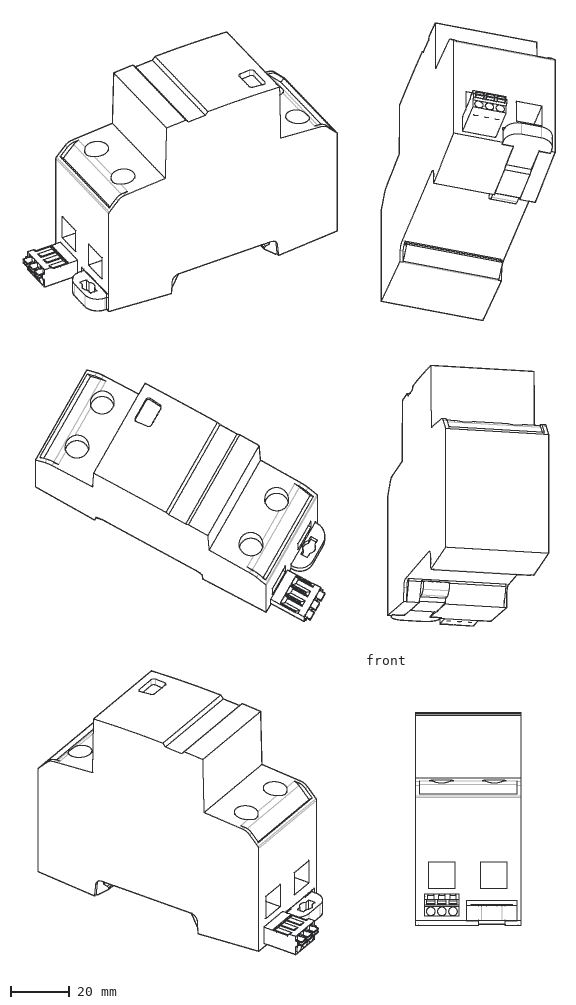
import cadquery as cq
import math


overall_length = 105.0
width = 36.0
height = 72.5
depth = 90.0
connector_reach = overall_length - depth

chamfer_foot_z = 43.9
chamfer_angle = math.radians(46)
shelf_start_inset = 6.4
shelf_start_z = 49.0
shelf_end_inset = 22.3
shelf_end_z = 50.2
shelf_slope = (shelf_end_z - shelf_start_z) / (shelf_end_inset - shelf_start_inset)
shoulder_radius = 4.2
front_edge_radius = 0.8

crown_y = 50.4
crown_radius = 377.9
tower_front_y = 22.8
tower_back_y = 67.3
groove_back_y = 39.0
groove_front_y = 30.3
groove_flank = 1.0
groove_floor_back_z = 71.2
groove_floor_front_z = 70.8

front_bottom_z = 1.7
back_bottom_z = 2.0
front_foot_y = 24.8
back_foot_y = 66.9
back_foot_z = 0.3
rail_ceiling_z = 7.3
rail_front_y = 25.1
rail_back_y = 66.2
rail_corner_radius = 2.5
rail_stop_y = 28.1
rail_stop_z = 6.5
side_wall = 1.0

well_diameter = 8.1
well_depth = 8.4
front_well_y = 10.9
back_well_y = 79.2
front_wells_x = (8.9, 26.9)
back_wells_x = (9.9, 27.5)
window_size = 9.0
window_depth = 10.5
window_bottom_z = 12.6
windows_x = (8.9, 26.8)

label_margin = 1.4
label_lip_inset = 0.9
label_floor_inset = 2.2
label_floor_z = 43.8
label_bend_inset = 6.3
label_end_inset = 8.2

indicator_x = 27.5
indicator_back_y = 64.2
indicator_front_y = 58.3
indicator_back_width = 9.5
indicator_front_width = 8.5
indicator_radius = 1.0
indicator_depth = 2.6

latch_x = 26.0
tab_width = 17.1
tab_reach = 5.7
tab_bottom_z = 1.8
tab_top_z = 6.8
tab_corner_radius = 5.0
tab_pocket_depth = 1.0
tab_pocket_top_z = 8.5
clearance_width = 14.2
clearance_top_z = 7.2
clearance_back_y = 4.2
shank_width = 9.0
keyhole_y = -2.2
keyhole_radius = 2.2
keyhole_depth = 4.2
keyhole_slot_length = 7.0
keyhole_slot_width = 2.5

connector_x = 9.0
connector_width = 11.8
connector_bottom_z = 3.3
connector_top_z = 9.9
connector_front_y = -13.0
bar_top_z = 10.7
bar_back_y = -10.6
bar_ramp_length = 1.2
ledge_front_y = -13.7
ledge_top_z = 8.8
ledge_bottom_z = 6.4
ledge_bevel = 0.6
pole_pitch = 3.8
poles_x = [connector_x + i * pole_pitch for i in (-1, 0, 1)]
wire_hole_diameter = 2.9
wire_hole_depth = 4.2
wire_hole_z = 4.8
key_slot_width = 2.2
key_slot_top_z = 10.3
key_slot_depth = 1.0
tongue_top_width = 1.6
tongue_base_width = 2.8
tongue_back_y = -3.5
tongue_floor_z = 9.2
tongue_pocket_width = 3.3

button_width = 2.8
button_top_z = 8.8
button_bottom_z = 7.1
button_back_y = -11.5
button_slot_height = 0.8
button_slot_depth = 1.3


def slab(points, x_start, x_end):
    """Prism from a Y-Z outline, reaching from x_start to x_end."""
    return cq.Workplane("YZ").workplane(offset=x_start).polyline(points).close().extrude(x_end - x_start)


def block(x_center, x_size, y_range, z_range):
    """Box centred on x_center with the given Y and Z ranges."""
    y_low, y_high = y_range
    z_low, z_high = z_range
    return cq.Workplane("XY").box(x_size, y_high - y_low, z_high - z_low).translate(
        (x_center, (y_low + y_high) / 2, (z_low + z_high) / 2)
    )


def crown_z(y):
    """Height of the crowned top at y."""
    return height - crown_radius + math.sqrt(crown_radius**2 - (y - crown_y) ** 2)


def shelf_z(inset):
    """Height of the sloping shelf at a distance in from the end face."""
    return shelf_start_z + (inset - shelf_start_inset) * shelf_slope


def crown_point(y):
    return (y, crown_z(y))


def round_edges(solid, places, radius):
    """Round the full-width edges nearest to the given (y, z) places."""
    for y, z in places:
        solid = solid.edges(cq.NearestToPointSelector((width / 2, y, z))).fillet(radius)
    return solid


def housing_shell():
    """Full-width outline with the crown, shoulders and rail recess."""
    rise = math.tan(chamfer_angle)
    corner_inset = (shelf_z(0) - chamfer_foot_z) / (rise - shelf_slope)
    corner_z = shelf_z(corner_inset)
    groove_back_floor_y = groove_back_y - groove_flank
    groove_front_floor_y = groove_front_y + groove_flank
    shell = (
        cq.Workplane("YZ")
        .moveTo(0, front_bottom_z)
        .lineTo(0, chamfer_foot_z)
        .lineTo(corner_inset, corner_z)
        .lineTo(shelf_end_inset, shelf_end_z)
        .lineTo(*crown_point(tower_front_y))
        .threePointArc(crown_point((tower_front_y + groove_front_y) / 2), crown_point(groove_front_y))
        .lineTo(groove_front_floor_y, groove_floor_front_z)
        .lineTo(groove_back_floor_y, groove_floor_back_z)
        .lineTo(*crown_point(groove_back_y))
        .threePointArc(crown_point((groove_back_y + tower_back_y) / 2), crown_point(tower_back_y))
        .lineTo(depth - shelf_end_inset, shelf_end_z)
        .lineTo(depth - corner_inset, corner_z)
        .lineTo(depth, chamfer_foot_z)
        .lineTo(depth, back_bottom_z)
        .lineTo(back_foot_y, back_foot_z)
        .lineTo(rail_back_y, rail_ceiling_z)
        .lineTo(rail_front_y, rail_ceiling_z)
        .lineTo(front_foot_y, 0)
        .close()
        .extrude(width)
    )

    shell = round_edges(
        shell, [(corner_inset, corner_z), (depth - corner_inset, corner_z)], shoulder_radius
    )
    shell = round_edges(shell, [(0, chamfer_foot_z)], front_edge_radius)
    return round_edges(
        shell, [(rail_front_y, rail_ceiling_z), (rail_back_y, rail_ceiling_z)], rail_corner_radius
    )


def rail_core():
    """Fixed rail hook at the back and sloped rail stop at the front, set in from both sides."""
    root_margin = 1.6
    hook = [
        (back_foot_y + root_margin, rail_ceiling_z + root_margin),
        (63.8, rail_ceiling_z + root_margin),
        (63.8, 5.7),
        (62.3, 5.4),
        (61.8, 4.9),
        (61.8, 4.2),
        (66.3, back_foot_z),
        (back_foot_y, back_foot_z),
        (back_foot_y + root_margin, root_margin),
    ]
    stop = [
        (rail_front_y - root_margin, rail_ceiling_z + root_margin),
        (rail_stop_y, rail_ceiling_z + root_margin),
        (rail_stop_y, rail_stop_z),
        (front_foot_y, 0),
        (rail_front_y - root_margin, root_margin),
    ]
    inner_end = width - side_wall
    return slab(hook, side_wall, inner_end).union(slab(stop, side_wall, inner_end))


def label_recess():
    """Cutter for the label recess in the front shoulder."""
    clear_z = shelf_end_z + 1
    lip_z = chamfer_foot_z + label_lip_inset * math.tan(chamfer_angle)
    bend_z = label_floor_z + (label_bend_inset - label_floor_inset) * math.tan(chamfer_angle)
    return (
        cq.Workplane("YZ")
        .workplane(offset=label_margin)
        .moveTo(label_lip_inset, lip_z)
        .lineTo(label_floor_inset, label_floor_z)
        .lineTo(label_bend_inset, bend_z)
        .tangentArcPoint((label_end_inset, shelf_z(label_end_inset)), relative=False)
        .lineTo(label_end_inset, clear_z)
        .lineTo(label_lip_inset, clear_z)
        .close()
        .extrude(width - 2 * label_margin)
    )


def screw_wells():
    floor_z = shelf_start_z - well_depth
    places = [(x, front_well_y) for x in front_wells_x] + [(x, back_well_y) for x in back_wells_x]
    return (
        cq.Workplane("XY").workplane(offset=floor_z).pushPoints(places)
        .circle(well_diameter / 2).extrude(2 * well_depth)
    )


def indicator_pocket():
    back_half = indicator_back_width / 2
    front_half = indicator_front_width / 2
    outline = [
        (indicator_x - back_half, indicator_back_y),
        (indicator_x + back_half, indicator_back_y),
        (indicator_x + front_half, indicator_front_y),
        (indicator_x - front_half, indicator_front_y),
    ]
    return (
        cq.Workplane("XY").workplane(offset=height - indicator_depth).polyline(outline).close()
        .extrude(2 * indicator_depth).edges("|Z").fillet(indicator_radius)
    )


def make_housing():
    housing = housing_shell().union(rail_core())
    front_label = label_recess()
    back_label = front_label.mirror("XZ", (0, depth / 2, 0))
    housing = housing.cut(front_label).cut(back_label).cut(screw_wells()).cut(indicator_pocket())
    for x in windows_x:
        window_top_z = window_bottom_z + window_size
        housing = housing.cut(block(x, window_size, (0, window_depth), (window_bottom_z, window_top_z)))
    tab_pocket = block(latch_x, tab_width, (0, tab_pocket_depth), (0, tab_pocket_top_z))
    shank_slot = block(latch_x, shank_width, (0, rail_stop_y), (0, tab_top_z))
    clearance = block(latch_x, clearance_width, (0, clearance_back_y), (tab_top_z, clearance_top_z))
    return housing.cut(tab_pocket).cut(shank_slot).cut(clearance)


def latch_shank():
    """Slide under the housing, ending in a rounded nose that grips the rail."""
    nose_base_y = 25.8
    shank_bottom_z = 0.5
    step_y = 10.8
    rise = tab_bottom_z - shank_bottom_z
    return (
        cq.Workplane("YZ")
        .workplane(offset=latch_x - shank_width / 2)
        .moveTo(0, tab_top_z)
        .lineTo(rail_stop_y, tab_top_z)
        .lineTo(rail_stop_y, rail_stop_z)
        .lineTo(30.5, 6.1)
        .threePointArc((31.4, 4.9), (30.6, 3.1))
        .threePointArc((29.6, 2.3), (rail_stop_y, tab_bottom_z))
        .lineTo(nose_base_y, tab_bottom_z)
        .lineTo(nose_base_y - rise, shank_bottom_z)
        .lineTo(step_y + rise, shank_bottom_z)
        .lineTo(step_y, tab_bottom_z)
        .lineTo(0, tab_bottom_z)
        .close()
        .extrude(shank_width)
    )


def make_latch():
    tab = block(latch_x, tab_width, (-tab_reach, tab_pocket_depth), (tab_bottom_z, tab_top_z))
    tab = tab.edges("|Z and <Y").fillet(tab_corner_radius)
    keyhole_plane = cq.Workplane("XY").workplane(offset=tab_top_z - keyhole_depth).center(latch_x, keyhole_y)
    keyhole = (
        keyhole_plane.circle(keyhole_radius).extrude(keyhole_depth)
        .union(keyhole_plane.rect(keyhole_slot_length, keyhole_slot_width).extrude(keyhole_depth))
    )
    return tab.union(latch_shank()).cut(keyhole)


def connector_tongue(x):
    """Flat-topped tongue with rounded flanks, sloping down at its back end."""
    top_half = tongue_top_width / 2
    base_half = tongue_base_width / 2
    tongue_height = bar_top_z - tongue_floor_z
    bulge_x = top_half + (base_half - top_half) * math.sin(math.radians(45))
    bulge_z = tongue_floor_z + tongue_height * math.sin(math.radians(45))
    tongue = (
        cq.Workplane("XZ")
        .workplane(offset=-tongue_back_y)
        .moveTo(x - base_half, tongue_floor_z)
        .threePointArc((x - bulge_x, bulge_z), (x - top_half, bar_top_z))
        .lineTo(x + top_half, bar_top_z)
        .threePointArc((x + bulge_x, bulge_z), (x + base_half, tongue_floor_z))
        .close()
        .extrude(tongue_back_y - bar_back_y)
    )
    back_slope = [
        (tongue_back_y, tongue_floor_z),
        (tongue_back_y, bar_top_z),
        (tongue_back_y - tongue_height, bar_top_z),
    ]
    return tongue.cut(slab(back_slope, x - base_half, x + base_half))


def make_connector():
    ramp_foot_y = bar_back_y + bar_ramp_length
    outline = [
        (0, connector_bottom_z),
        (0, connector_top_z),
        (ramp_foot_y, connector_top_z),
        (bar_back_y, bar_top_z),
        (connector_front_y, bar_top_z),
        (connector_front_y, ledge_top_z),
        (ledge_front_y, ledge_top_z),
        (ledge_front_y, ledge_bottom_z + ledge_bevel),
        (connector_front_y, ledge_bottom_z),
        (connector_front_y, connector_bottom_z),
    ]
    connector = slab(outline, connector_x - connector_width / 2, connector_x + connector_width / 2)
    pocket_y = (ramp_foot_y, tongue_back_y)
    button_y = (ledge_front_y, button_back_y)
    key_y = (connector_front_y, connector_front_y + key_slot_depth)
    for x in poles_x:
        pocket = block(x, tongue_pocket_width, pocket_y, (tongue_floor_z, bar_top_z))
        button_hole = block(x, button_width, button_y, (button_bottom_z, button_top_z))
        key_slot = block(x, key_slot_width, key_y, (button_top_z, key_slot_top_z))
        wire_hole = (
            cq.Workplane("XZ").workplane(offset=-ledge_front_y).center(x, wire_hole_z)
            .circle(wire_hole_diameter / 2).extrude(ledge_front_y - connector_front_y - wire_hole_depth)
        )
        connector = connector.cut(pocket).union(connector_tongue(x))
        connector = connector.cut(button_hole).cut(key_slot).cut(wire_hole)
    return connector


def make_button(x):
    """Push button with a screwdriver slot across its front."""
    button = block(x, button_width, (-connector_reach, button_back_y), (button_bottom_z, button_top_z))
    slot_z = (button_bottom_z + button_top_z) / 2
    slot = block(
        x,
        button_width,
        (-connector_reach, -connector_reach + button_slot_depth),
        (slot_z - button_slot_height / 2, slot_z + button_slot_height / 2),
    )
    return button.cut(slot)


housing = make_housing()
latch = make_latch()
connector = make_connector()
buttons = [make_button(x) for x in poles_x]

result = cq.Compound.makeCompound(
    [body.solids().val() for body in (housing, latch, connector, *buttons)]
)